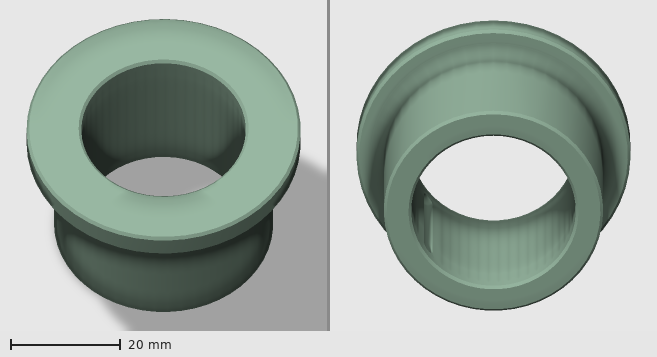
import cadquery as cq

flange_diameter = 50.0
body_diameter = 40.0
bore_diameter = 30.0
height = 30.0
flange_thickness = 5.0

neck_fillet = 2.5
edge_chamfer = 0.5

groove_radius = 1.25
groove_end_margin = 3.0


def cylinder(diameter, bottom, top):
    """Solid cylinder about the Z axis between two heights."""
    return cq.Workplane("XY").workplane(offset=bottom).circle(diameter / 2).extrude(top - bottom)


def make_flanged_body():
    """Sleeve and flange, with a rounded neck and chamfered flange rims."""
    underside = height - flange_thickness
    flange = cylinder(flange_diameter, underside, height).edges().chamfer(edge_chamfer)
    sleeve = cylinder(body_diameter, 0, underside).faces("<Z").edges().chamfer(edge_chamfer)
    neck_edge = cq.selectors.NearestToPointSelector((0, 0, underside))
    return sleeve.union(flange).edges(neck_edge).fillet(neck_fillet)


def make_bore():
    """Through bore, widened by a chamfer at each mouth."""
    radius = bore_diameter / 2
    mouth_radius = radius + edge_chamfer
    profile = [
        (0, 0),
        (mouth_radius, 0),
        (radius, edge_chamfer),
        (radius, height - edge_chamfer),
        (mouth_radius, height),
        (0, height),
    ]
    return cq.Workplane("XZ").polyline(profile).close().revolve(360, (0, 0, 0), (0, 1, 0))


def make_groove():
    """Round groove centred on the bore wall, with ball ends short of both bore mouths."""
    lower_center = groove_end_margin + groove_radius
    upper_center = height - lower_center
    groove = cylinder(2 * groove_radius, lower_center, upper_center)
    for center in (lower_center, upper_center):
        ball_end = cq.Workplane("XY").sphere(groove_radius).translate((0, 0, center))
        groove = groove.union(ball_end)
    return groove.translate((bore_diameter / 2, 0, 0))


result = make_flanged_body().cut(make_bore()).cut(make_groove())